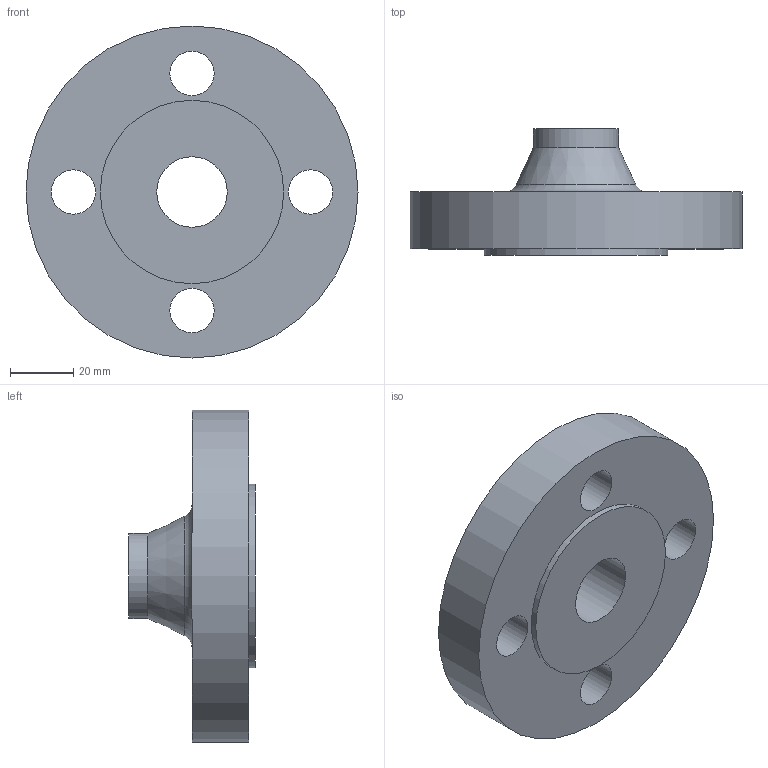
import cadquery as cq

flange_diameter = 105.0
flange_thickness = 18.0
total_length = 40.0

raised_face_diameter = 58.0
raised_face_height = 2.0

bore_diameter = 22.3
neck_diameter = 26.9
neck_length = 6.0
hub_diameter = 40.0
hub_fillet_radius = 4.0

bolt_count = 4
bolt_hole_diameter = 14.0
bolt_circle_diameter = 75.0

axis_direction = (0, 1, 0)


def flange_body():
    """Solid of revolution: raised face, flange disc, conical hub and neck."""
    flange_back_y = raised_face_height + flange_thickness
    neck_start_y = total_length - neck_length
    profile = (
        cq.Workplane("XY")
        .lineTo(raised_face_diameter / 2, 0)
        .lineTo(raised_face_diameter / 2, raised_face_height)
        .lineTo(flange_diameter / 2, raised_face_height)
        .lineTo(flange_diameter / 2, flange_back_y)
        .lineTo(hub_diameter / 2, flange_back_y)
        .lineTo(neck_diameter / 2, neck_start_y)
        .lineTo(neck_diameter / 2, total_length)
        .lineTo(0, total_length)
        .close()
    )
    return profile.revolve(360, (0, 0, 0), axis_direction)


def fillet_hub(body):
    """Round the inside corner between the conical hub and the flange back."""
    second_smallest = cq.selectors.RadiusNthSelector(1)
    return body.edges("%CIRCLE").edges(second_smallest).fillet(hub_fillet_radius)


def hole_cutter(diameter, x=0.0):
    """Cylinder parallel to Y through the whole length of the part."""
    cylinder = cq.Solid.makeCylinder(
        diameter / 2, total_length, cq.Vector(x, 0, 0), cq.Vector(*axis_direction)
    )
    return cq.Workplane(cylinder)


def cut_bolt_holes(body):
    """Drill evenly spaced holes on the bolt circle, the first one on +X."""
    first_hole = hole_cutter(bolt_hole_diameter, x=bolt_circle_diameter / 2)
    for index in range(bolt_count):
        angle = index * 360 / bolt_count
        body = body.cut(first_hole.rotate((0, 0, 0), axis_direction, angle))
    return body


flange = fillet_hub(flange_body())
flange = flange.cut(hole_cutter(bore_diameter))
result = cut_bolt_holes(flange)